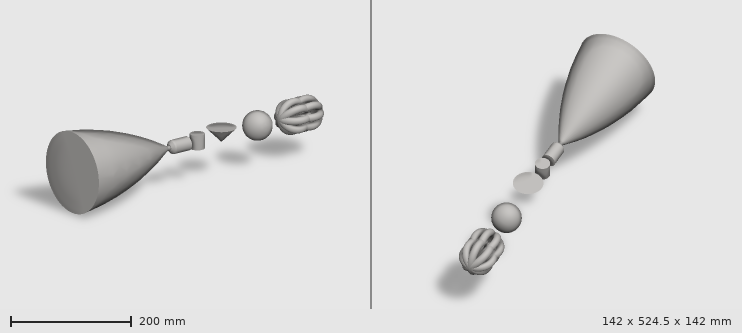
import cadquery as cq
import math

BASE_DIAMETER = 51.0
BASE_RADIUS = BASE_DIAMETER / 2
HALF_RADIUS = BASE_RADIUS / 2

EXIT_RADIUS = 71.0
BELL_MIDDLE_RADIUS = 49.5
THROAT_RADIUS = 4.0
CONE_END_RADIUS = 6.5
THROAT_START = 200.0
THROAT_LENGTH = 4.5
CHAMBER_RADIUS = 12.0
CHAMBER_END = 244.0
ROUNDING_START = 212.5
CONE_START = 209.5
CONE_START_RADIUS = 11.0

PIN_Y = 265.0
CONE_Y = PIN_Y + 2 * BASE_RADIUS
BALL_Y = CONE_Y + 3 * BASE_RADIUS

RIB_COUNT = 8
RING_TUBE_RADIUS = BASE_RADIUS / 4
LOBE_OFFSET = HALF_RADIUS
CAGE_END = 524.5
CAGE_Y = CAGE_END - RING_TUBE_RADIUS - BASE_RADIUS - LOBE_OFFSET


def make_engine():
    """Bell, throat and chamber, revolved about Y as one solid."""
    rounding_length = ROUNDING_START - CONE_START
    rounding_depth = CHAMBER_RADIUS - CONE_START_RADIUS
    rounding_radius = (rounding_length**2 + rounding_depth**2) / (2 * rounding_depth)
    throat_end = THROAT_START + THROAT_LENGTH
    profile = (
        cq.Workplane("XY")
        .lineTo(EXIT_RADIUS, 0)
        .threePointArc((BELL_MIDDLE_RADIUS, THROAT_START / 2), (THROAT_RADIUS, THROAT_START))
        .lineTo(THROAT_RADIUS, throat_end)
        .lineTo(CONE_END_RADIUS, throat_end)
        .lineTo(CONE_START_RADIUS, CONE_START)
        .radiusArc((CHAMBER_RADIUS, ROUNDING_START), -rounding_radius)
        .lineTo(CHAMBER_RADIUS, CHAMBER_END)
        .lineTo(0, CHAMBER_END)
        .close()
    )
    return profile.revolve(360, (0, 0, 0), (0, 1, 0))


def make_pin():
    """Upright cylinder, as tall as it is wide."""
    base = cq.Workplane("XY", origin=(0, PIN_Y, -HALF_RADIUS))
    return base.circle(HALF_RADIUS).extrude(2 * HALF_RADIUS)


def make_cone():
    """Cone with its apex pointing down, as tall as its radius."""
    apex = cq.Vector(0, CONE_Y, -HALF_RADIUS)
    return cq.Workplane(cq.Solid.makeCone(0, BASE_RADIUS, BASE_RADIUS, apex, cq.Vector(0, 0, 1)))


def make_ball():
    return cq.Workplane("XY").sphere(BASE_RADIUS).translate((0, BALL_Y, 0))


def make_rib():
    """One wedge of the cage on its +X side: both lobes' rings, cut by planes through the Y axis.

    Inside its own wedge a ring encloses every other ring of its lobe, so the wedges
    side by side are exactly the union of all the crossing rings.
    """
    ring = cq.Workplane(cq.Solid.makeTorus(BASE_RADIUS, RING_TUBE_RADIUS))
    ring = ring.rotate((0, 0, 0), (0, 0, 1), 180)
    rings = ring.translate((0, LOBE_OFFSET, 0)).union(ring.translate((0, -LOBE_OFFSET, 0)))
    wedge_reach = 2 * BASE_RADIUS
    wedge_half_width = wedge_reach * math.tan(math.pi / RIB_COUNT)
    wedge = (
        cq.Workplane("XZ")
        .lineTo(wedge_reach, -wedge_half_width)
        .lineTo(wedge_reach, wedge_half_width)
        .close()
        .extrude(wedge_reach, both=True)
    )
    return rings.intersect(wedge)


def make_cage():
    """Two overlapping lobes of rings that cross on the Y axis, joined as one solid."""
    rib = make_rib()
    cage = rib
    for index in range(1, RIB_COUNT):
        cage = cage.union(rib.rotate((0, 0, 0), (0, 1, 0), index * 360 / RIB_COUNT))
    return cage.translate((0, CAGE_Y, 0))


engine = make_engine()
pin = make_pin()
cone = make_cone()
ball = make_ball()
cage = make_cage()

result = cq.Compound.makeCompound([
    engine.val(),
    pin.val(),
    cone.val(),
    ball.val(),
    cage.solids().val(),
])